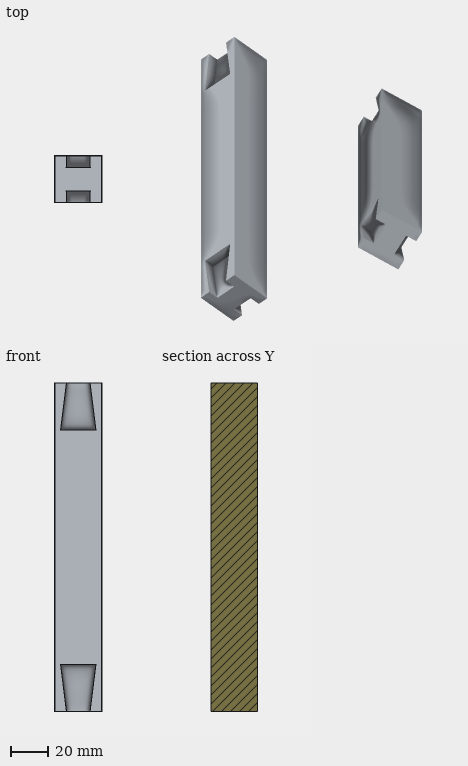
import cadquery as cq

length = 177.4
side = 25.4

socket_length = side
socket_depth = side / 4
mouth_width = side / 2
inner_width = side * 3 / 4


def dovetail_socket(y_sign, z_sign):
    """Cutter that is narrow at the bar's end and widens toward its middle."""
    end_z = z_sign * length / 2
    inner_z = z_sign * (length / 2 - socket_length)
    return (
        cq.Workplane("XZ")
        .polyline([
            (-mouth_width / 2, end_z),
            (mouth_width / 2, end_z),
            (inner_width / 2, inner_z),
            (-inner_width / 2, inner_z),
        ])
        .close()
        .extrude(socket_depth, both=True)
        .translate((0, y_sign * side / 2, 0))
    )


result = cq.Workplane("XY").box(side, side, length)
for y_sign in (-1, 1):
    for z_sign in (-1, 1):
        result = result.cut(dovetail_socket(y_sign, z_sign))